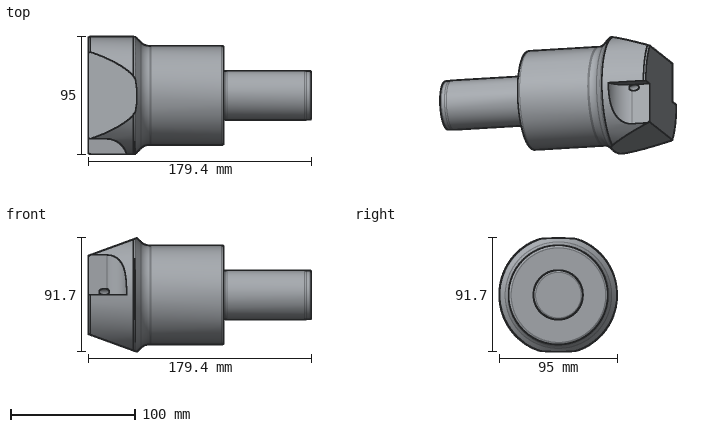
import cadquery as cq
import math

total_length = 179.38

head_radius = 47.5
head_bevel_length = 1.75
head_bevel_depth = 1.0
head_land_end = 36.4
head_rear_radius = 47.3
head_rear_rounding = 0.7

relief_radius = 39.9
relief_start = 49.4
relief_end = 49.9
relief_taper_length = 0.5
cove_radius = 10.0
cove_angle = math.radians(45)

body_radius = 40.0
body_end = 109.2
body_rear_rounding = 2.0

shank_radius = 20.0
shank_relief_radius = 19.75
neck_length = 1.2
neck_taper_length = 1.0
shank_land_end = 173.8
shank_taper_length = 1.6
shank_end_rounding = 1.4

flat_height_at_face = 31.52
flat_angle = math.radians(20)

pocket_wall = 35.0
pocket_straight_length = 15.0
pocket_runout_radius = 16.5

coolant_diameter = 5.0
coolant_exit_x = 13.0
coolant_angle = math.radians(36.5)
coolant_depth = 30.0

clearance = 10.0


def turned_blank():
    """Revolve the head, cove, body and shank profile about X."""
    cove_start = relief_start - cove_radius * math.sin(cove_angle)
    cove_start_radius = relief_radius + cove_radius * (1 - math.cos(cove_angle))
    half_angle = cove_angle / 2
    cove_middle = relief_start - cove_radius * math.sin(half_angle)
    cove_middle_radius = relief_radius + cove_radius * (1 - math.cos(half_angle))
    head_end = cove_start - (head_rear_radius - cove_start_radius) / math.tan(cove_angle)

    setback = head_rear_rounding * math.tan(half_angle)
    rounding_start = head_end - setback
    rounding_centre_radius = head_rear_radius - head_rear_rounding

    def on_rounding(angle):
        return (
            rounding_start + head_rear_rounding * math.sin(angle),
            rounding_centre_radius + head_rear_rounding * math.cos(angle),
        )

    neck_end = body_end + neck_length
    profile = (
        cq.Workplane("XY")
        .moveTo(0, 0)
        .lineTo(0, head_radius - head_bevel_depth)
        .lineTo(head_bevel_length, head_radius)
        .lineTo(head_land_end, head_radius)
        .lineTo(head_land_end, head_rear_radius)
        .lineTo(rounding_start, head_rear_radius)
        .threePointArc(on_rounding(half_angle), on_rounding(cove_angle))
        .lineTo(cove_start, cove_start_radius)
        .threePointArc((cove_middle, cove_middle_radius), (relief_start, relief_radius))
        .lineTo(relief_end, relief_radius)
        .lineTo(relief_end + relief_taper_length, body_radius)
        .lineTo(body_end - body_rear_rounding, body_radius)
        .radiusArc((body_end, body_radius - body_rear_rounding), body_rear_rounding)
        .lineTo(body_end, shank_relief_radius)
        .lineTo(neck_end, shank_relief_radius)
        .lineTo(neck_end + neck_taper_length, shank_radius)
        .lineTo(shank_land_end, shank_radius)
        .lineTo(shank_land_end + shank_taper_length, shank_relief_radius)
        .lineTo(total_length - shank_end_rounding, shank_relief_radius)
        .radiusArc((total_length, shank_relief_radius - shank_end_rounding), shank_end_rounding)
        .lineTo(total_length, 0)
        .close()
    )
    return profile.revolve(360, (0, 0, 0), (1, 0, 0))


def inclined_flat():
    """Wedge of material removed above the upper inclined flat."""
    top = head_radius + clearance
    flat_end = (top - flat_height_at_face) / math.tan(flat_angle)
    front_height = flat_height_at_face - clearance * math.tan(flat_angle)
    return (
        cq.Workplane("XZ")
        .polyline([(-clearance, front_height), (flat_end, top), (-clearance, top)])
        .close()
        .extrude(head_radius + clearance, both=True)
    )


def insert_pocket():
    """Pocket on the -Y side: flat wall with an arc running out to the rear."""
    runout_centre_y = -pocket_wall - pocket_runout_radius
    arc_middle_offset = pocket_runout_radius * math.sqrt(0.5)
    return (
        cq.Workplane("XY")
        .moveTo(-clearance, -pocket_wall)
        .lineTo(pocket_straight_length, -pocket_wall)
        .threePointArc(
            (pocket_straight_length + arc_middle_offset, runout_centre_y + arc_middle_offset),
            (pocket_straight_length + pocket_runout_radius, runout_centre_y),
        )
        .lineTo(-clearance, runout_centre_y)
        .close()
        .extrude(head_radius)
    )


def coolant_hole():
    """Slanted blind hole from the pocket wall inward, just above the pocket floor."""
    direction = cq.Vector(math.cos(coolant_angle), math.sin(coolant_angle), 0)
    exit_point = cq.Vector(coolant_exit_x, -pocket_wall, coolant_diameter / 2)
    start = exit_point - direction * clearance
    length = coolant_depth + clearance
    return cq.Workplane(cq.Solid.makeCylinder(coolant_diameter / 2, length, start, direction))


result = turned_blank()
for turn in (0, 180):
    for cutter in (inclined_flat(), insert_pocket(), coolant_hole()):
        result = result.cut(cutter.rotate((0, 0, 0), (1, 0, 0), turn))